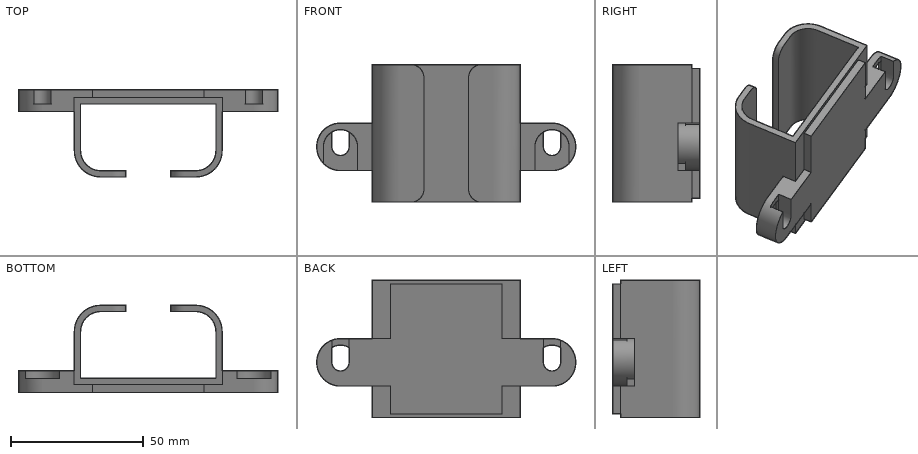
import cadquery as cq

body_width = 56.0
body_depth = 30.0
body_height = 52.0
wall = 2.45
corner_radius = 10.0
mouth_width = 16.9
lip_radius = 5.0

pad_width = 42.2
pad_height = 49.2
pad_thickness = 3.0

overall_width = 98.0
ear_height = 18.0
ear_thickness = 8.3
ear_z = -5.1
slot_width = 6.5
pocket_width = 12.9
pocket_depth = 2.9

ear_radius = ear_height / 2
ear_x = overall_width / 2 - ear_radius
front_y = 0.0
body_back_y = front_y + body_depth
back_y = body_back_y + pad_thickness
ear_front_y = back_y - ear_thickness
pocket_floor_y = ear_front_y + pocket_depth


def block(width, height, y_start, y_end, x=0.0, z=0.0):
    """Box centred on x and z, spanning y_start to y_end."""
    depth = y_end - y_start
    return cq.Workplane("XY").box(width, depth, height).translate((x, y_start + depth / 2, z))


def cylinder(radius, y_start, y_end, x, z):
    """Cylinder along Y, centred on x and z."""
    start = cq.Vector(x, y_start, z)
    return cq.Workplane(cq.Solid.makeCylinder(radius, y_end - y_start, start, cq.Vector(0, 1, 0)))


def make_cavity():
    """Inside of the channel, concentric with the outer front corners."""
    return (
        block(body_width - 2 * wall, body_height, front_y + wall, body_back_y - wall)
        .edges("|Z and <Y")
        .fillet(corner_radius - wall)
    )


def make_mouth():
    """Front opening, flared at both ends so the lip corners come out rounded."""
    mouth = block(mouth_width + 2 * lip_radius, body_height, front_y, front_y + wall)
    half_mouth = mouth_width / 2
    for side in (-1, 1):
        lip = block(
            2 * lip_radius, body_height, front_y, front_y + wall, x=side * (half_mouth + lip_radius)
        )
        inner_edges = "|Y and >X" if side < 0 else "|Y and <X"
        mouth = mouth.cut(lip.edges(inner_edges).fillet(lip_radius))
    return mouth


def make_ear_bar():
    """Round-ended bar that forms both ears."""
    bar = block(2 * ear_x, ear_height, ear_front_y, back_y, z=ear_z)
    for side in (-1, 1):
        bar = bar.union(cylinder(ear_radius, ear_front_y, back_y, side * ear_x, ear_z))
    return bar


def make_keyway(width, y_start, y_end, x, direction):
    """Channel with one round end at the ear centre, open upward (1) or downward (-1)."""
    straight = block(width, ear_height, y_start, y_end, x, ear_z + direction * ear_height / 2)
    return straight.union(cylinder(width / 2, y_start, y_end, x, ear_z))


body = block(body_width, body_height, front_y, body_back_y).edges("|Z and <Y").fillet(corner_radius)
pad = block(pad_width, pad_height, body_back_y, back_y)

result = body.union(pad).union(make_ear_bar()).cut(make_cavity()).cut(make_mouth())

for side in (-1, 1):
    result = result.cut(make_keyway(slot_width, pocket_floor_y, back_y, side * ear_x, 1))
    result = result.cut(make_keyway(pocket_width, ear_front_y, pocket_floor_y, side * ear_x, -1))